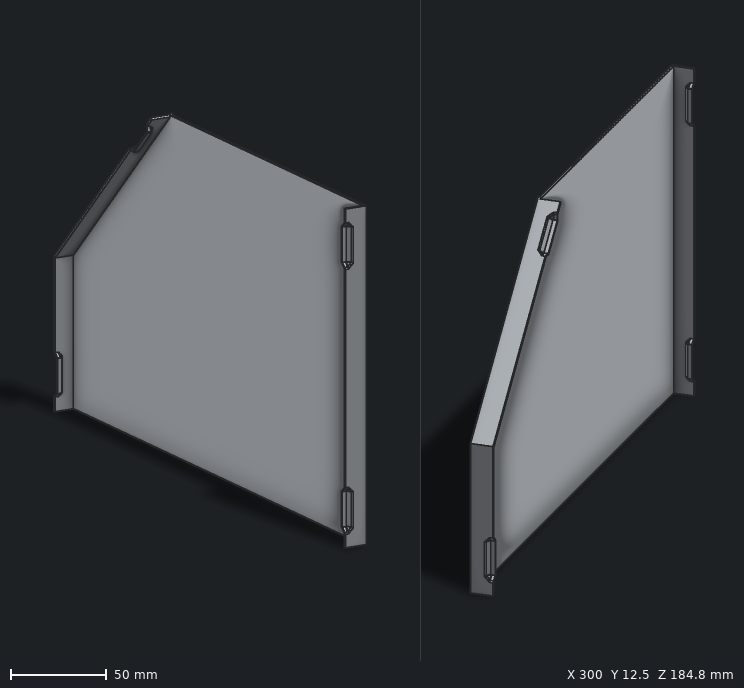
import cadquery as cq
import math

width = 300.0
height = 184.8
flange_depth = 12.5
sheet = 1.5
left_height = 84.0
slope_flange_gap = 1.2

dent_half_length = 12.5
dent_floor_half_length = 9.5
dent_reach = 4.8
dent_floor_reach = 2.5
dent_shoulder = dent_reach - (dent_half_length - dent_floor_half_length)
dent_press = 3.3
dent_wall = 1.0
dent_end_offset = 20.0

slope_rise = height - left_height
plate_height = height - sheet * math.sin(math.radians(45))
slope_length = math.hypot(slope_rise, slope_rise)


def sheet_prism(points, depth):
    """Extrude an XZ outline from the back face (Y = 0) towards -Y."""
    return cq.Workplane("XZ").polyline(points).close().extrude(depth)


def dent_shape():
    """Dent volume: X along the flange, Y from its free edge, Z into the part."""
    outline = [
        (-dent_half_length, 0, 0),
        (dent_half_length, 0, 0),
        (dent_half_length, dent_shoulder, 0),
        (dent_floor_half_length, dent_reach, 0),
        (-dent_floor_half_length, dent_reach, 0),
        (-dent_half_length, dent_shoulder, 0),
    ]
    floor = [
        (-dent_floor_half_length, 0, dent_press),
        (dent_floor_half_length, 0, dent_press),
        (dent_floor_half_length, dent_floor_reach, dent_press),
        (-dent_floor_half_length, dent_floor_reach, dent_press),
    ]
    loops = [
        outline,
        floor,
        [outline[0], outline[1], floor[1], floor[0]],
        [outline[1], outline[2], floor[2], floor[1]],
        [outline[2], outline[3], floor[2]],
        [outline[3], outline[4], floor[3], floor[2]],
        [outline[4], outline[5], floor[3]],
        [outline[5], outline[0], floor[0], floor[3]],
    ]
    faces = []
    for loop in loops:
        wire = cq.Wire.makePolygon([cq.Vector(*point) for point in loop], close=True)
        faces.append(cq.Face.makeFromWires(wire))
    return cq.Solid.makeSolid(cq.Shell.makeShell(faces))


def press_dent(body, x, z, inward):
    """Press a dent centred at (x, z) on a flange's outer face."""
    edge = cq.Vector(x, -flange_depth, z)
    direction = cq.Vector(*inward).normalized()
    along = cq.Vector(0, 1, 0).cross(direction)
    recess = dent_shape().moved(cq.Location(cq.Plane(edge, along, direction)))
    bump = recess.moved(cq.Location(direction * dent_wall))
    return body.union(cq.Workplane(bump)).cut(cq.Workplane(recess))


plate_top_left = slope_rise + height - plate_height
body = sheet_prism(
    [
        (0, 0),
        (width, 0),
        (width, plate_height),
        (plate_top_left, plate_height),
        (slope_rise, height),
        (0, left_height),
    ],
    sheet,
)

left_inner_height = left_height + sheet * (1 - math.sqrt(2))
left_flange = sheet_prism(
    [(0, 0), (sheet, 0), (sheet, left_inner_height), (0, left_height)], flange_depth
)
right_flange = sheet_prism(
    [(width - sheet, 0), (width, 0), (width, plate_height), (width - sheet, plate_height)],
    flange_depth,
)

end_setback = slope_flange_gap * math.sin(math.radians(45))
slope_flange = sheet_prism(
    [
        (0, left_height),
        (slope_rise - end_setback, height - end_setback),
        (plate_top_left - end_setback, plate_height - end_setback),
        (sheet, left_inner_height),
    ],
    flange_depth,
)
body = body.union(left_flange).union(right_flange).union(slope_flange)

body = press_dent(body, 0, dent_end_offset, (1, 0, 0))
for dent_z in (dent_end_offset, plate_height - dent_end_offset):
    body = press_dent(body, width, dent_z, (-1, 0, 0))
slope_fraction = 1 - dent_end_offset / slope_length
body = press_dent(
    body,
    slope_rise * slope_fraction,
    left_height + slope_rise * slope_fraction,
    (1, 0, -1),
)

result = body